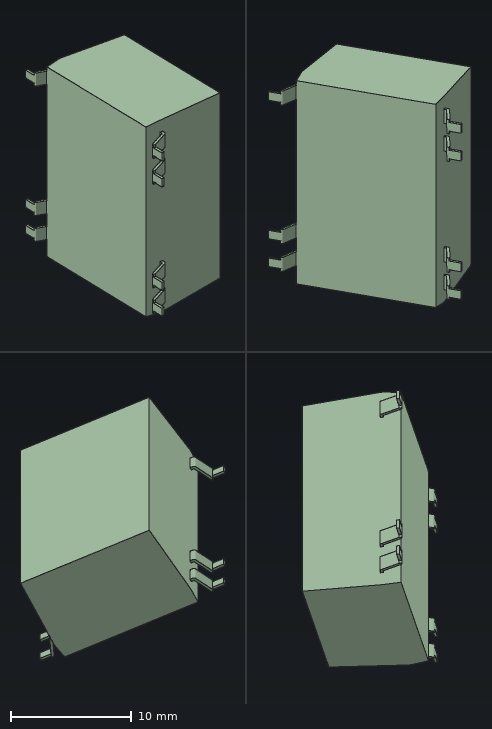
import cadquery as cq
import math

body_width = 12.75
body_length = 18.9
total_height = 8.7
standoff = 0.3
band_start = 1.77
band_height = 0.27
back_draft = 3.0
front_draft = 5.0

lead_span = 17.22
lead_thickness = 0.25
lead_width = 1.3
foot_width = 0.8
shoulder_end = 6.62
foot_start = 7.54
lead_embed = 0.5
pitch = 2.54
left_positions = [-3 * pitch, -2 * pitch, 3 * pitch]
right_positions = [-3 * pitch, -2 * pitch, 2 * pitch, 3 * pitch]

band_end = band_start + band_height


def body_section(y, height, draft):
    """Block from y towards +Y (or -Y if height is negative), tapering by draft degrees."""
    outline = cq.Workplane("XZ", origin=(0, y, 0)).rect(body_width, body_length)
    return outline.extrude(-height, taper=draft)


def make_body():
    back = body_section(band_end, total_height - band_end, back_draft)
    band = body_section(band_start, band_height, 0)
    front = body_section(band_start, standoff - band_start, front_draft)
    return band.union(back).union(front)


def make_right_lead():
    """Lead on the +X side, centred on Z = 0, with its sole on Y = 0.

    Each bend is sharp inside and has an outer radius equal to the strip thickness.
    """
    tip = lead_span / 2
    root = body_width / 2 - lead_embed
    shoulder_top = band_start + lead_thickness
    run = foot_start - shoulder_end
    drop = band_start - lead_thickness
    slope = math.atan2(drop, run) + math.asin(lead_thickness / math.hypot(run, drop))

    def bend_offset(angle):
        """X and Y offset from an inside corner to its outer arc, turned by angle from the Y axis."""
        return lead_thickness * math.sin(angle), lead_thickness * math.cos(angle)

    mid_x, mid_y = bend_offset(slope / 2)
    end_x, end_y = bend_offset(slope)
    leg = (
        cq.Workplane("XY")
        .moveTo(root, band_start)
        .lineTo(shoulder_end, band_start)
        .lineTo(foot_start - end_x, lead_thickness - end_y)
        .threePointArc((foot_start - mid_x, lead_thickness - mid_y), (foot_start, 0))
        .lineTo(foot_start, lead_thickness)
        .lineTo(shoulder_end + end_x, band_start + end_y)
        .threePointArc((shoulder_end + mid_x, band_start + mid_y), (shoulder_end, shoulder_top))
        .lineTo(root, shoulder_top)
        .close()
        .extrude(lead_width / 2, both=True)
    )
    foot = cq.Workplane("XY").box(
        tip - foot_start, lead_thickness, foot_width, centered=(False, False, True)
    )
    return leg.union(foot.translate((foot_start, 0, 0)))


result = make_body()
right_lead = make_right_lead()
left_lead = right_lead.mirror("YZ")
for z in right_positions:
    result = result.union(right_lead.translate((0, 0, z)))
for z in left_positions:
    result = result.union(left_lead.translate((0, 0, z)))